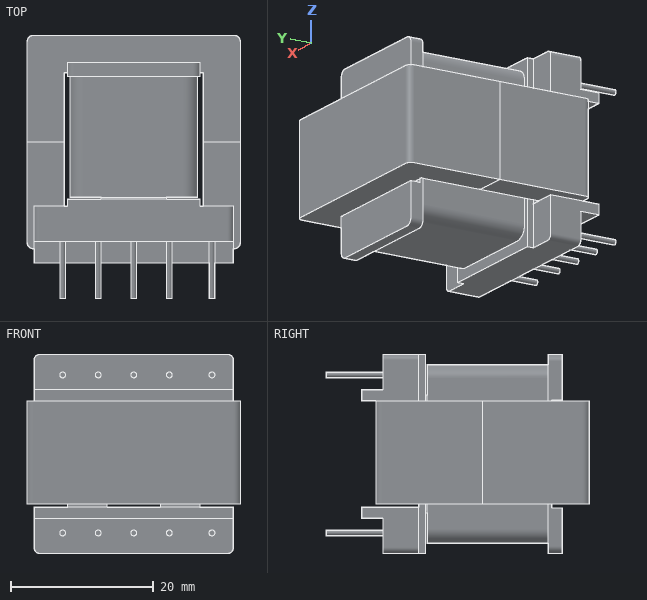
import cadquery as cq


core_width = 30.0
core_depth = 30.0
core_height = 14.5
core_corner_radius = 0.92
window_width = 19.5
yoke_thickness = 5.3

passage_width = 7.5
passage_height = 14.9

tube_wall = 0.85
tube_corner_radius = 0.45
winding_space = 17.2

flange_width = 18.7
flange_thickness = 2.0
flange_corner_radius = 1.0
rear_notch_height = 15.15

bobbin_width = 28.0
bobbin_height = 28.0
plate_thickness = 1.0
block_depth = 5.0
block_corner_radius = 0.8
lip_depth = 3.0
lip_thickness = 1.6

pin_diameter = 0.8
pin_length = 8.0
pin_row_offset = 11.1
pin_pitch = 5.0
end_pin_offset = 11.0
pin_positions = [-2 * pin_pitch, -pin_pitch, 0, pin_pitch, end_pin_offset]

winding_width = 17.95
winding_height = 25.12
winding_corner_radius = 1.92
winding_end_gap = 0.22

overall_depth = 37
core_back_y = core_depth / 2
window_back_y = core_back_y - yoke_thickness
core_middle_z = (passage_height - core_height) / 2
pin_tip_y = core_back_y - overall_depth
block_front_y = pin_tip_y + pin_length
block_back_y = block_front_y + block_depth
plate_back_y = block_back_y + plate_thickness
flange_front_y = plate_back_y + winding_space
flange_back_y = flange_front_y + flange_thickness
tube_width = passage_width + 2 * tube_wall
tube_height = passage_height + 2 * tube_wall


def block(width, height, front_y, back_y, middle_z=0):
    """Box centred on X = 0 that runs along Y from front_y to back_y."""
    middle_y = (front_y + back_y) / 2
    return cq.Workplane("XY").box(width, back_y - front_y, height).translate((0, middle_y, middle_z))


def make_core_half(direction):
    """E-shaped half on the +Y (direction 1) or -Y (direction -1) side, with legs that meet at Y = 0."""
    half = block(core_width, core_height, 0, core_back_y)
    half = half.edges("|Z and >Y").fillet(core_corner_radius)
    half = half.cut(block(window_width, core_height, 0, window_back_y))
    half = half.union(block(passage_width, core_height, 0, window_back_y))
    if direction < 0:
        half = half.mirror("XZ")
    return half.translate((0, 0, core_middle_z))


def make_rear_flange():
    """Rear flange, notched where it straddles the yoke behind the core window."""
    flange = block(flange_width, bobbin_height, flange_front_y, flange_back_y)
    flange = flange.edges("|Y").fillet(flange_corner_radius)
    return flange.cut(block(flange_width, rear_notch_height, window_back_y, flange_back_y))


def make_terminal_blocks():
    """Upper and lower terminal blocks, each with a lip that reaches over the front yoke."""
    blocks = block(bobbin_width, bobbin_height, block_front_y, block_back_y)
    blocks = blocks.edges("|Y").fillet(block_corner_radius)
    lips_height = passage_height + 2 * lip_thickness
    lips_front_y = block_front_y - lip_depth
    blocks = blocks.union(block(bobbin_width, lips_height, lips_front_y, block_front_y))
    return blocks.cut(block(bobbin_width, passage_height, lips_front_y, block_back_y))


def make_pins():
    """Two rows of round pins on the front faces of the terminal blocks."""
    points = [(x, z) for x in pin_positions for z in (-pin_row_offset, pin_row_offset)]
    front_face = cq.Workplane("XZ", origin=(0, block_front_y, 0))
    return front_face.pushPoints(points).circle(pin_diameter / 2).extrude(pin_length)


def make_tube_envelope():
    """Solid shape of the outside of the bobbin tube, between the front plate and the rear flange."""
    tube = block(tube_width, tube_height, plate_back_y, flange_front_y)
    return tube.edges("|Y").fillet(tube_corner_radius)


def make_bobbin():
    bobbin = make_tube_envelope()
    bobbin = bobbin.union(make_rear_flange())
    bobbin = bobbin.union(block(flange_width, bobbin_height, block_back_y, plate_back_y))
    bobbin = bobbin.cut(block(passage_width, passage_height, block_back_y, flange_back_y))
    return bobbin.union(make_terminal_blocks()).union(make_pins())


def make_winding():
    """Winding around the tube, against the rear flange and just short of the front plate."""
    winding = block(winding_width, winding_height, plate_back_y + winding_end_gap, flange_front_y)
    winding = winding.edges("|Y").fillet(winding_corner_radius)
    return winding.cut(make_tube_envelope())


core_halves = [make_core_half(direction) for direction in (1, -1)]
bobbin = make_bobbin()
winding = make_winding()

bodies = [*core_halves, bobbin, winding]
result = cq.Compound.makeCompound([body.solids().val() for body in bodies])